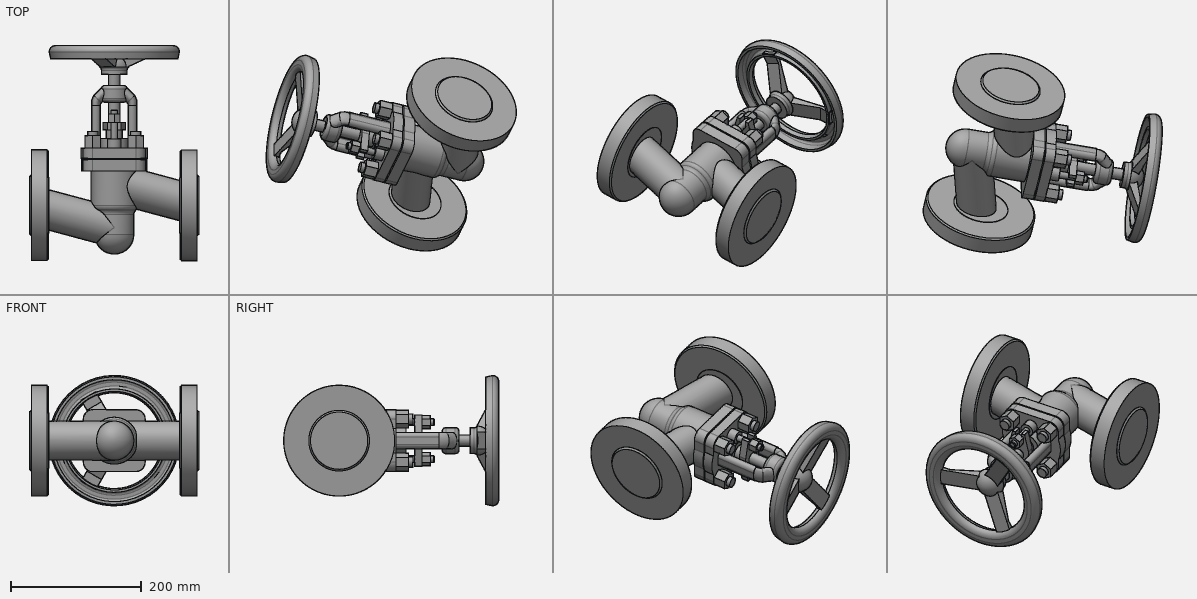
import cadquery as cq
import math


OVERALL_LENGTH = 330

FLANGE_RADIUS = 85.0
FLANGE_FACE = 127.0
FLANGE_THICKNESS = 26.0
FLANGE_CHAMFER = 2.3
RAISED_FACE_RADIUS = 46.5
RAISED_FACE_HEIGHT = 3.0
RAISED_FACE_CHAMFER = 2.5
WELD_RING_RADIUS = 42.2
WELD_RING_HEIGHT = 0.5

PIPE_RADIUS = 30.0
PIPE_SLOPE = 15
PIPE_DROP = FLANGE_FACE * math.tan(math.radians(PIPE_SLOPE))
BODY_RADIUS = 36.0
SHOULDER_START = -0.5
SHOULDER_END = -14.5
DOME_CENTER = -45.0

PLATE_WIDTH = 95.0
PLATE_CORNER = 14.5
BODY_PLATE_BOTTOM = 52.5
BODY_PLATE_TOP = 70.0
BODY_PLATE_BULGE = 50.0
BONNET_PLATE_BOTTOM = 72.0
BONNET_PLATE_TOP = 87.5
BONNET_PLATE_BULGE = 51.0
GASKET_RADIUS = 36.3
HEX_HALF_ANGLE = 30
BOLT_OFFSET = 33.0
BOLT_RADIUS = 8.0
BOLT_TOP = 113.2
BOLT_NUT_FLATS = 24.0
BOLT_NUT_TOP = 106.5

GLAND_BOSS_RADIUS = 20.8
GLAND_BOSS_TOP = 102.5
STUD_OFFSET = 28.5
STUD_RADIUS = 5.3
STUD_TOP = 146.2
STUD_CHAMFER = 1.3
STUD_BOSS_RADIUS = 10.2
STUD_BOSS_TOP = 101.5
GLAND_TUBE_RADIUS = 12.5
GLAND_PLATE_BOTTOM = 115.5
GLAND_PLATE_TOP = 127.0
GLAND_PLATE_LENGTH = 79.2
GLAND_PLATE_WIDTH = 35.0
GLAND_PLATE_END_WIDTH = 21.0
GLAND_PLATE_WAIST = 19.8
GLAND_NUT_FLATS = 17.8
GLAND_NUT_TOP = 140.0

YOKE_HUB_RADIUS = 20.0
YOKE_HUB_BOTTOM = 157.7
YOKE_HUB_TOP = 183.8
YOKE_HUB_ROUND = 6.0
LEG_OFFSET = 28.0
LEG_THICKNESS = 13.5
LEG_WIDTH = 25.0
LEG_STRAIGHT_TOP = 153.0
ARM_THICKNESS = 16.5
ARM_LENGTH = 33.0
ARM_SLOPE = 45
ELBOW_PIVOT_GAP = 5.3

STEM_RADIUS = 9.0
WHEEL_RADIUS = 100.0
WHEEL_TOP = OVERALL_LENGTH - FLANGE_RADIUS
WHEEL_BOTTOM = 224.5
RIM_ROUND = 10.0
RIM_SKIRT_RADIUS = 97.7
RIM_GROOVE_OUTER = 93.5
RIM_FLOOR_OUTER = 89.8
RIM_FLOOR_INNER = 83.8
RIM_GROOVE_INNER = 79.2
RIM_FLOOR = 239.5
RIM_INNER_RADIUS = 73.3
RIM_INNER_LIP_RADIUS = 75.5
RIM_INNER_BOTTOM = 228.5
WHEEL_HUB_RADIUS = 19.8
WHEEL_HUB_BOTTOM = 200.5
WHEEL_HUB_NECK = 206.5
WHEEL_HUB_DOME = 211.5
WHEEL_HUB_DOME_RADIUS = 22.5
SPOKE_COUNT = 3
SPOKE_WIDTH = 26.0
SPOKE_HUB_DEPTH = 8.5
SPOKE_RIM_DEPTH = 9.2
SPOKE_BEND_RADIUS = 61.5
SPOKE_RISE = 19.0


def cylinder(radius, bottom, top, x=0, z=0):
    """Round bar along Y."""
    return cq.Workplane(
        cq.Solid.makeCylinder(radius, top - bottom, cq.Vector(x, bottom, z), cq.Vector(0, 1, 0))
    )


def revolved(outline):
    """Turn a closed XY outline about the Y axis."""
    return outline.close().revolve(360, (0, 0, 0), (0, 1, 0))


def raised_from(bottom):
    """Sketch plane across the spindle with local axes X and -Z, extruding along +Y."""
    return cq.Workplane(cq.Plane((0, bottom, 0), (1, 0, 0), (0, 1, 0)))


def hex_nut(flats, bottom, top, x, z):
    """Hexagonal nut along Y with two corners pointing along Z."""
    return (
        raised_from(bottom)
        .center(x, -z)
        .transformed(rotate=(0, 0, 90))
        .polygon(6, flats / math.cos(math.radians(HEX_HALF_ANGLE)))
        .extrude(top - bottom)
    )


def pipe_branch():
    """Inlet flange and its sloping pipe on the -X side."""
    back = FLANGE_FACE - FLANGE_THICKNESS
    tip = FLANGE_FACE + RAISED_FACE_HEIGHT
    flange = (
        cq.Workplane("YZ", origin=(-FLANGE_FACE, 0, 0))
        .circle(FLANGE_RADIUS)
        .extrude(FLANGE_THICKNESS)
        .faces(">X")
        .chamfer(FLANGE_CHAMFER)
    )
    raised_face = (
        cq.Workplane("YZ", origin=(-tip, 0, 0))
        .circle(RAISED_FACE_RADIUS)
        .extrude(RAISED_FACE_HEIGHT)
        .faces("<X")
        .chamfer(RAISED_FACE_CHAMFER)
    )
    weld_ring = cq.Workplane("YZ", origin=(-back, 0, 0)).circle(WELD_RING_RADIUS).extrude(WELD_RING_HEIGHT)
    slope = math.radians(PIPE_SLOPE)
    axis = cq.Vector(-math.cos(slope), math.sin(slope), 0)
    pipe_length = (back + FLANGE_THICKNESS / 2) / math.cos(slope)
    pipe = cq.Workplane(
        cq.Solid.makeCylinder(PIPE_RADIUS, pipe_length, cq.Vector(0, -PIPE_DROP, 0), axis)
    )
    return flange.union(raised_face).union(weld_ring).union(pipe)


def body():
    """Body barrel narrowing through an S-shaped shoulder to a domed bottom."""
    middle = ((BODY_RADIUS + PIPE_RADIUS) / 2, (SHOULDER_START + SHOULDER_END) / 2)
    diagonal = PIPE_RADIUS * math.sqrt(0.5)
    outline = (
        cq.Workplane("XY")
        .moveTo(0, BODY_PLATE_BOTTOM)
        .lineTo(BODY_RADIUS, BODY_PLATE_BOTTOM)
        .lineTo(BODY_RADIUS, SHOULDER_START)
        .tangentArcPoint(middle, relative=False)
        .tangentArcPoint((PIPE_RADIUS, SHOULDER_END), relative=False)
        .lineTo(PIPE_RADIUS, DOME_CENTER)
        .threePointArc((diagonal, DOME_CENTER - diagonal), (0, DOME_CENTER - PIPE_RADIUS))
    )
    return revolved(outline)


def joint_plate(bottom, top, bulge_radius):
    """Square plate with round corners and a shallow round bulge on its -X and +X sides."""
    height = top - bottom
    square = raised_from(bottom).rect(PLATE_WIDTH, PLATE_WIDTH).extrude(height)
    square = square.edges("|Y").fillet(PLATE_CORNER)
    slab = raised_from(bottom).rect(2 * bulge_radius, PLATE_WIDTH).extrude(height)
    return square.union(cylinder(bulge_radius, bottom, top).intersect(slab))


def bolted_joint():
    """Body plate, gasket and bonnet plate held by four studs and nuts."""
    joint = joint_plate(BODY_PLATE_BOTTOM, BODY_PLATE_TOP, BODY_PLATE_BULGE)
    joint = joint.union(cylinder(GASKET_RADIUS, BODY_PLATE_TOP, BONNET_PLATE_BOTTOM))
    joint = joint.union(joint_plate(BONNET_PLATE_BOTTOM, BONNET_PLATE_TOP, BONNET_PLATE_BULGE))
    for x in (-BOLT_OFFSET, BOLT_OFFSET):
        for z in (-BOLT_OFFSET, BOLT_OFFSET):
            joint = joint.union(cylinder(BOLT_RADIUS, BODY_PLATE_BOTTOM, BOLT_TOP, x, z))
            joint = joint.union(hex_nut(BOLT_NUT_FLATS, BONNET_PLATE_TOP, BOLT_NUT_TOP, x, z))
    return joint


def gland_plate():
    """Lozenge-shaped plate with a stud slot open at each end."""
    half_length = GLAND_PLATE_LENGTH / 2
    half_width = GLAND_PLATE_WIDTH / 2
    half_end = GLAND_PLATE_END_WIDTH / 2
    half_waist = GLAND_PLATE_WAIST / 2
    height = GLAND_PLATE_TOP - GLAND_PLATE_BOTTOM
    plate = (
        raised_from(GLAND_PLATE_BOTTOM)
        .moveTo(half_end, half_length)
        .lineTo(half_width, half_waist)
        .lineTo(half_width, -half_waist)
        .lineTo(half_end, -half_length)
        .lineTo(-half_end, -half_length)
        .lineTo(-half_width, -half_waist)
        .lineTo(-half_width, half_waist)
        .lineTo(-half_end, half_length)
        .close()
        .extrude(height)
    )
    slot_length = half_length - STUD_OFFSET
    for side in (-1, 1):
        slot = (
            raised_from(GLAND_PLATE_BOTTOM)
            .center(0, side * (STUD_OFFSET + slot_length / 2))
            .rect(2 * STUD_RADIUS, slot_length)
            .extrude(height)
        )
        plate = plate.cut(slot)
    return plate


def gland():
    """Stuffing box on the bonnet with its gland plate, studs and nuts."""
    assembly = cylinder(GLAND_BOSS_RADIUS, BONNET_PLATE_TOP, GLAND_BOSS_TOP)
    assembly = assembly.union(cylinder(GLAND_TUBE_RADIUS, GLAND_BOSS_TOP, GLAND_PLATE_TOP))
    assembly = assembly.union(gland_plate())
    for z in (-STUD_OFFSET, STUD_OFFSET):
        stud = cylinder(STUD_RADIUS, BONNET_PLATE_TOP, STUD_TOP, z=z).faces(">Y").chamfer(STUD_CHAMFER)
        assembly = assembly.union(stud)
        assembly = assembly.union(cylinder(STUD_BOSS_RADIUS, BONNET_PLATE_TOP, STUD_BOSS_TOP, z=z))
        assembly = assembly.union(hex_nut(GLAND_NUT_FLATS, GLAND_PLATE_TOP, GLAND_NUT_TOP, 0, z))
    return assembly


def arm_section(turn, thickness):
    """Oval across the elbow, swung by an angle about a pivot just inside the leg."""
    angle = math.radians(turn)
    outward = (math.cos(angle), math.sin(angle), 0)
    reach = ELBOW_PIVOT_GAP + thickness / 2
    pivot_x = LEG_OFFSET - LEG_THICKNESS / 2 - ELBOW_PIVOT_GAP
    center = (pivot_x + reach * outward[0], LEG_STRAIGHT_TOP + reach * outward[1], 0)
    along = (-outward[1], outward[0], 0)
    return cq.Workplane(cq.Plane(center, outward, along)).ellipse(thickness / 2, LEG_WIDTH / 2)


def yoke_leg():
    """Flat oval leg on the +X side whose arm bends and widens toward the hub."""
    post = (
        raised_from(BONNET_PLATE_TOP)
        .center(LEG_OFFSET, 0)
        .slot2D(LEG_WIDTH, LEG_THICKNESS, 90)
        .extrude(LEG_STRAIGHT_TOP - BONNET_PLATE_TOP)
    )
    sections = [
        arm_section(0, LEG_THICKNESS),
        arm_section(ARM_SLOPE / 2, (LEG_THICKNESS + ARM_THICKNESS) / 2),
        arm_section(ARM_SLOPE, ARM_THICKNESS),
    ]
    elbow = cq.Workplane(cq.Solid.makeLoft([section.val() for section in sections]))
    arm = arm_section(ARM_SLOPE, ARM_THICKNESS).extrude(ARM_LENGTH)
    return post.union(elbow).union(arm)


def yoke():
    """Round hub carried by two legs."""
    hub = cylinder(YOKE_HUB_RADIUS, YOKE_HUB_BOTTOM, YOKE_HUB_TOP).edges().fillet(YOKE_HUB_ROUND)
    reach = 2 * (LEG_OFFSET + LEG_THICKNESS)
    headroom = (
        raised_from(BONNET_PLATE_TOP).rect(reach, reach).extrude(YOKE_HUB_TOP - BONNET_PLATE_TOP)
    )
    leg = yoke_leg().intersect(headroom)
    return hub.union(leg).union(leg.mirror("YZ"))


def rim():
    """Hollow handwheel rim, open toward the valve."""
    round_y = WHEEL_TOP - RIM_ROUND
    inner_fillet = RIM_FLOOR_INNER - RIM_GROOVE_INNER
    outer_fillet = RIM_GROOVE_OUTER - RIM_FLOOR_OUTER
    bevel = RIM_ROUND * (1 - math.sqrt(0.5))
    outline = (
        cq.Workplane("XY")
        .moveTo(RIM_GROOVE_OUTER, WHEEL_BOTTOM)
        .lineTo(RIM_SKIRT_RADIUS, WHEEL_BOTTOM)
        .lineTo(WHEEL_RADIUS, round_y)
        .threePointArc((WHEEL_RADIUS - bevel, WHEEL_TOP - bevel), (WHEEL_RADIUS - RIM_ROUND, WHEEL_TOP))
        .lineTo(RIM_INNER_RADIUS + RIM_ROUND, WHEEL_TOP)
        .threePointArc((RIM_INNER_RADIUS + bevel, WHEEL_TOP - bevel), (RIM_INNER_RADIUS, round_y))
        .lineTo(RIM_INNER_LIP_RADIUS, RIM_INNER_BOTTOM)
        .lineTo(RIM_GROOVE_INNER, RIM_INNER_BOTTOM)
        .lineTo(RIM_GROOVE_INNER, RIM_FLOOR - inner_fillet)
        .tangentArcPoint((RIM_FLOOR_INNER, RIM_FLOOR), relative=False)
        .lineTo(RIM_FLOOR_OUTER, RIM_FLOOR)
        .tangentArcPoint((RIM_GROOVE_OUTER, RIM_FLOOR - outer_fillet), relative=False)
    )
    return revolved(outline)


def spoke():
    """Spoke along +X that climbs from the hub and levels out before the rim."""
    bend_y = WHEEL_HUB_DOME + SPOKE_RISE
    return (
        cq.Workplane("XY", origin=(0, 0, -SPOKE_WIDTH / 2))
        .moveTo(0, WHEEL_HUB_DOME)
        .lineTo(WHEEL_HUB_RADIUS, WHEEL_HUB_DOME)
        .lineTo(SPOKE_BEND_RADIUS, bend_y)
        .lineTo(RIM_GROOVE_INNER, bend_y)
        .lineTo(RIM_GROOVE_INNER, bend_y + SPOKE_RIM_DEPTH)
        .lineTo(0, WHEEL_HUB_DOME + SPOKE_HUB_DEPTH)
        .close()
        .extrude(SPOKE_WIDTH)
    )


def handwheel():
    """Rim, three spokes and a domed hub."""
    diagonal = WHEEL_HUB_DOME_RADIUS * math.sqrt(0.5)
    hub = revolved(
        cq.Workplane("XY")
        .moveTo(0, WHEEL_HUB_BOTTOM)
        .lineTo(WHEEL_HUB_RADIUS, WHEEL_HUB_BOTTOM)
        .lineTo(WHEEL_HUB_RADIUS, WHEEL_HUB_NECK)
        .tangentArcPoint((WHEEL_HUB_DOME_RADIUS, WHEEL_HUB_DOME), relative=False)
        .threePointArc((diagonal, WHEEL_HUB_DOME + diagonal), (0, WHEEL_HUB_DOME + WHEEL_HUB_DOME_RADIUS))
    )
    wheel = rim().union(hub)
    for index in range(SPOKE_COUNT):
        wheel = wheel.union(spoke().rotate((0, 0, 0), (0, 1, 0), index * 360 / SPOKE_COUNT))
    return wheel


inlet = pipe_branch()
outlet = inlet.rotate((0, 0, 0), (0, 0, 1), 180)
stem = cylinder(STEM_RADIUS, GLAND_PLATE_BOTTOM, WHEEL_HUB_DOME)

result = body().union(inlet).union(outlet).union(bolted_joint())
result = result.union(gland()).union(stem).union(yoke()).union(handwheel())